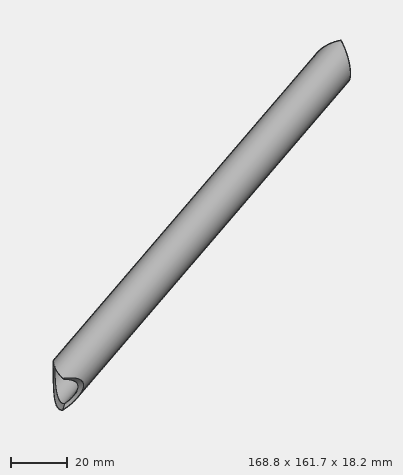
import cadquery as cq
import math

tip_span_x = 168.87
tip_span_y = 161.68

outer_diameter = 15.0
wall = 1.5
plan_angle = 44.47
fall_angle = 0.8
overrun = 20.0

cope_x_radius = 10.0
cope_y_radius = 9.0
cope_length = 80.0

outer_radius = outer_diameter / 2
inner_radius = outer_radius - wall
plan_turn = math.radians(plan_angle)
fall_tilt = math.radians(fall_angle)

axis = cq.Vector(
    math.cos(fall_tilt) * math.cos(plan_turn),
    -math.cos(fall_tilt) * math.sin(plan_turn),
    -math.sin(fall_tilt),
)
tip_distance = math.hypot(tip_span_x, tip_span_y)
fall = tip_distance * math.tan(fall_tilt)
near_corner = cq.Vector(-tip_span_x / 2, tip_span_y / 2, fall / 2)
far_corner = cq.Vector(tip_span_x / 2, -tip_span_y / 2, -fall / 2)


def rod(radius):
    """Solid rod along the tube axis, longer than the finished tube."""
    length = tip_distance + 2 * overrun
    return cq.Workplane(cq.Solid.makeCylinder(radius, length, near_corner - axis * overrun, axis))


def cope(radius, center, direction):
    """Crossing cylinder centred on a point of its own axis."""
    base = center - direction * (cope_length / 2)
    return cq.Workplane(cq.Solid.makeCylinder(radius, cope_length, base, direction))


def trim_near_end(tube):
    """Cope the near end to a cylinder of the tube's own diameter, mirrored in Y.

    Equal diameters make the outer edges two flat half ellipses, so the end is
    a right-angled point in plan.
    """
    mirrored_axis = cq.Vector(axis.x, -axis.y, axis.z)
    return tube.cut(cope(outer_radius, near_corner, mirrored_axis))


def trim_far_end(tube):
    """Cope the far end to two larger cylinders, one along X and one along Y."""
    tip_offset = (far_corner - near_corner).cross(axis).z
    tip_height = math.sqrt(outer_radius ** 2 - tip_offset ** 2)

    setback_y = math.sqrt(cope_x_radius ** 2 - outer_radius ** 2)
    setback_x = math.sqrt(cope_y_radius ** 2 - tip_height ** 2)
    along_x = cope(cope_x_radius, far_corner - cq.Vector(0, setback_y, 0), cq.Vector(1, 0, 0))
    along_y = cope(cope_y_radius, far_corner + cq.Vector(setback_x, 0, 0), cq.Vector(0, 1, 0))
    return tube.cut(along_x).cut(along_y)


raw_tube = rod(outer_radius).cut(rod(inner_radius))
trimmed_tube = trim_far_end(trim_near_end(raw_tube))

result = cq.Workplane(max(trimmed_tube.solids().vals(), key=lambda piece: piece.Volume()))